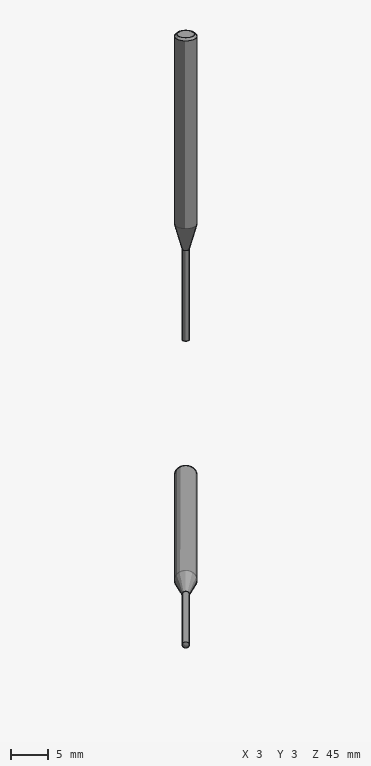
import cadquery as cq
import math

total_length = 45.0

drill_diameter = 0.95
drill_length = 13.5
point_angle = 130.0

shank_diameter = 3.0
taper_length = 3.7
chamfer_height = 0.3
chamfer_width = 0.3

drill_radius = drill_diameter / 2
shank_radius = shank_diameter / 2
point_height = drill_radius / math.tan(math.radians(point_angle / 2))
taper_top = drill_length + taper_length


def make_drill():
    """Slender cylinder with a conical point."""
    profile = [
        (0, 0),
        (-drill_radius, point_height),
        (-drill_radius, drill_length),
        (0, drill_length),
    ]
    return cq.Workplane("XZ").polyline(profile).close().revolve(360, (0, 0), (0, 1))


def make_shank():
    """Chamfered cylinder tapering down to the drill."""
    profile = [
        (0, drill_length),
        (-drill_radius, drill_length),
        (-shank_radius, taper_top),
        (-shank_radius, total_length - chamfer_height),
        (-(shank_radius - chamfer_width), total_length),
        (0, total_length),
    ]
    return cq.Workplane("YZ").polyline(profile).close().revolve(360, (0, 0), (0, 1))


drill = make_drill()
shank = make_shank()

result = cq.Compound.makeCompound([drill.val(), shank.val()])